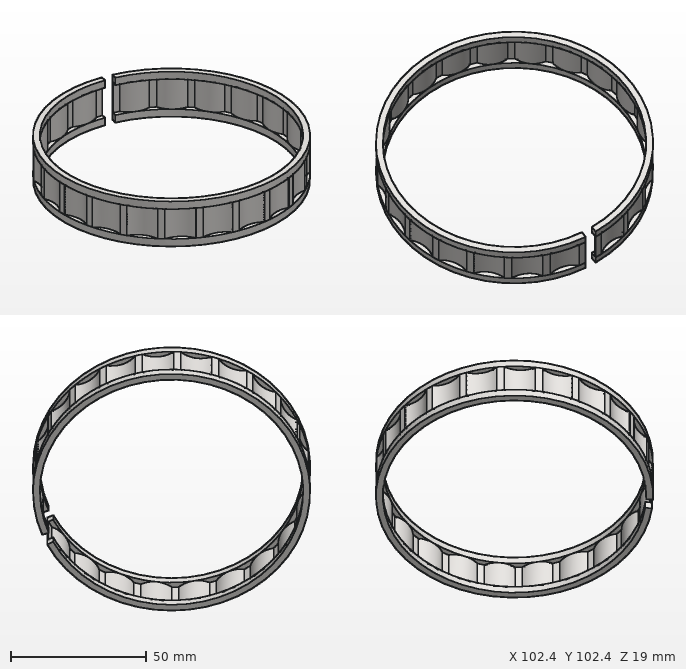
import cadquery as cq
import math

outer_radius = 51.21
ring_thickness = 2.56
height = 19.0

band_height = 12.6
sheet_thickness = 0.57

pocket_count = 22
pocket_pitch = 16.0
land_angle = 3.0
gap_centre_angle = 168.0

inner_radius = outer_radius - ring_thickness
end_ring_height = (height - band_height) / 2
gap_angle = 360 - pocket_count * pocket_pitch - land_angle
start_angle = gap_centre_angle + gap_angle / 2
end_angle = start_angle + 360 - gap_angle


def polar(radius, angle):
    """Point at a radius and an angle in degrees."""
    return (radius * math.cos(math.radians(angle)), radius * math.sin(math.radians(angle)))


def arc_about_axis(sketch, radius, from_angle, to_angle):
    """Continue an outline with an arc centred on the ring axis."""
    middle = (from_angle + to_angle) / 2
    return sketch.threePointArc(polar(radius, middle), polar(radius, to_angle))


def end_ring(bottom):
    """Split flat ring with radial ends at the gap."""
    outline = cq.Workplane("XY").workplane(offset=bottom).moveTo(*polar(outer_radius, start_angle))
    outline = arc_about_axis(outline, outer_radius, start_angle, end_angle)
    outline = outline.lineTo(*polar(inner_radius, end_angle))
    outline = arc_about_axis(outline, inner_radius, end_angle, start_angle)
    return outline.close().extrude(end_ring_height)


def wavy_side(outline, land_radius, floor_radius, first_angle, direction):
    """Continue an outline along one face of the band: flat lands joined by arcs that dip inwards."""
    angle = first_angle
    for _ in range(pocket_count):
        land_end = angle + direction * land_angle
        next_land = angle + direction * pocket_pitch
        outline = outline.lineTo(*polar(land_radius, land_end))
        outline = outline.threePointArc(
            polar(floor_radius, (land_end + next_land) / 2),
            polar(land_radius, next_land),
        )
        angle = next_land
    return outline.lineTo(*polar(land_radius, angle + direction * land_angle))


def corrugated_band():
    """Thin wavy wall: lands flush with the outside, pocket floors flush with the bore."""
    land_inner_radius = outer_radius - sheet_thickness
    floor_outer_radius = inner_radius + sheet_thickness
    outline = cq.Workplane("XY").workplane(offset=end_ring_height)
    outline = outline.moveTo(*polar(outer_radius, start_angle))
    outline = wavy_side(outline, outer_radius, floor_outer_radius, start_angle, 1)
    outline = outline.lineTo(*polar(land_inner_radius, end_angle))
    outline = wavy_side(outline, land_inner_radius, inner_radius, end_angle, -1)
    return outline.close().extrude(band_height)


bottom_ring = end_ring(0)
top_ring = end_ring(height - end_ring_height)
result = bottom_ring.union(corrugated_band()).union(top_ring)